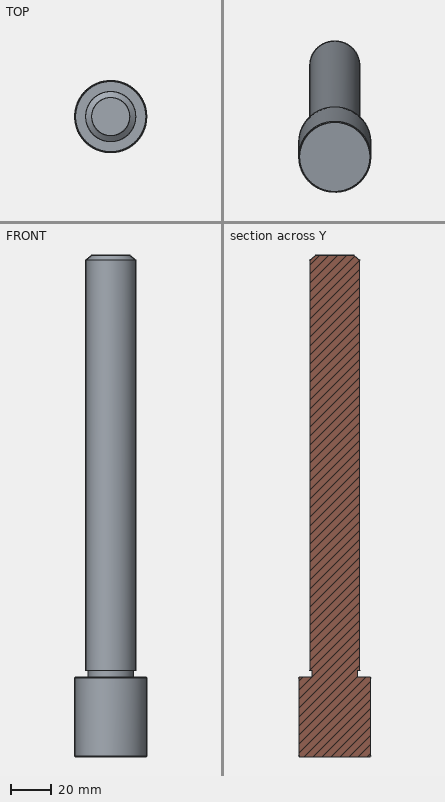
import cadquery as cq

total_length = 250.0
head_diameter = 36.0
head_length = 40.0
shank_diameter = 25.0

head_chamfer = 0.5
tip_chamfer = 2.5
tip_diameter = 19.0
neck_diameter = 22.8
neck_length = 3.0

head_radius = head_diameter / 2
shank_radius = shank_diameter / 2
tip_radius = tip_diameter / 2
neck_radius = neck_diameter / 2
neck_top = head_length + neck_length

profile = (
    cq.Workplane("XZ")
    .lineTo(head_radius - head_chamfer, 0)
    .lineTo(head_radius, head_chamfer)
    .lineTo(head_radius, head_length - head_chamfer)
    .lineTo(head_radius - head_chamfer, head_length)
    .lineTo(neck_radius, head_length)
    .lineTo(neck_radius, neck_top)
    .lineTo(shank_radius, neck_top)
    .lineTo(shank_radius, total_length - tip_chamfer)
    .lineTo(tip_radius, total_length)
    .lineTo(0, total_length)
    .close()
)

result = profile.revolve(360, (0, 0, 0), (0, 1, 0))